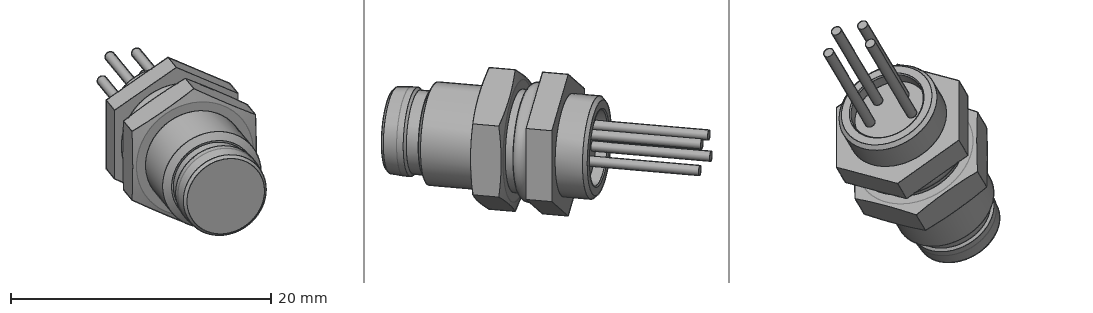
import cadquery as cq
import math

total_length = 24.9
hex_across_flats = 10.0
hex_across_corners = hex_across_flats / math.cos(math.radians(30))

body_start = 8.42
body_radius = 8.0 / 2
rear_chamfer = 0.3
shoulder_start = 21.56
shoulder_end = 21.9
shoulder_radius = 3.39

groove_radius = 6.5 / 2
groove_end = 22.88
collar_radius = 6.9 / 2
collar_start = 23.08
collar_end = 23.6
nose_radius = 3.35
nose_tip_radius = 3.14
nose_tip_length = 0.22

recess_radius = 5.9 / 2
recess_depth = 1.0
mouth_chamfer = 0.1

flange_start = 10.88
flange_width = 2.05
nut_start = 14.85
nut_width = 2.56
nut_chamfer_length = 0.25
nut_face_radius = 4.73

ring_section_radius = 0.65
ring_center_x = flange_start + flange_width + ring_section_radius
ring_center_radius = body_radius

wire_diameter = 0.8
wire_circle_radius = 1.78
wire_angles = (-17, 53, 127, 197)


def revolve_about_x(profile):
    """Revolve a closed (X, radius) profile around the connector axis."""
    return profile.revolve(360, (0, 0, 0), (1, 0, 0))


def hexagon(start, width):
    """Hexagonal prism along X with two corners pointing along Z."""
    return (
        cq.Workplane("YZ", origin=(start, 0, 0))
        .transformed(rotate=(0, 0, 90))
        .polygon(6, hex_across_corners)
        .extrude(width)
    )


def make_body():
    outline = [
        (body_start, 0),
        (body_start, body_radius - rear_chamfer),
        (body_start + rear_chamfer, body_radius),
        (shoulder_start, body_radius),
        (shoulder_end, shoulder_radius),
        (shoulder_end, groove_radius),
        (groove_end, groove_radius),
        (collar_start, collar_radius),
        (collar_end, collar_radius),
        (total_length - nose_tip_length, nose_radius),
        (total_length, nose_tip_radius),
        (total_length, 0),
    ]
    return revolve_about_x(cq.Workplane("XY").polyline(outline).close())


def make_recess():
    """Cylindrical rear recess with a chamfered mouth."""
    outline = [
        (body_start, 0),
        (body_start, recess_radius + mouth_chamfer),
        (body_start + mouth_chamfer, recess_radius),
        (body_start + recess_depth, recess_radius),
        (body_start + recess_depth, 0),
    ]
    return revolve_about_x(cq.Workplane("XY").polyline(outline).close())


def make_nut():
    """Hexagonal nut with its corners turned down conically at both ends."""
    nut_end = nut_start + nut_width
    corner_radius = hex_across_corners / 2
    envelope = [
        (nut_start, 0),
        (nut_start, nut_face_radius),
        (nut_start + nut_chamfer_length, corner_radius),
        (nut_end - nut_chamfer_length, corner_radius),
        (nut_end, nut_face_radius),
        (nut_end, 0),
    ]
    turned = revolve_about_x(cq.Workplane("XY").polyline(envelope).close())
    return hexagon(nut_start, nut_width).intersect(turned)


def make_sealing_ring():
    section = cq.Workplane("XY").center(ring_center_x, ring_center_radius).circle(ring_section_radius)
    return section.revolve(360, (0, -ring_center_radius, 0), (1, -ring_center_radius, 0))


def make_wires():
    """Four wires running from X = 0 to the floor of the recess."""
    centers = [
        (
            wire_circle_radius * math.cos(math.radians(angle)),
            wire_circle_radius * math.sin(math.radians(angle)),
        )
        for angle in wire_angles
    ]
    return (
        cq.Workplane("YZ")
        .pushPoints(centers)
        .circle(wire_diameter / 2)
        .extrude(body_start + recess_depth)
    )


result = (
    make_body()
    .union(hexagon(flange_start, flange_width))
    .union(make_sealing_ring())
    .union(make_nut())
    .cut(make_recess())
    .union(make_wires())
)